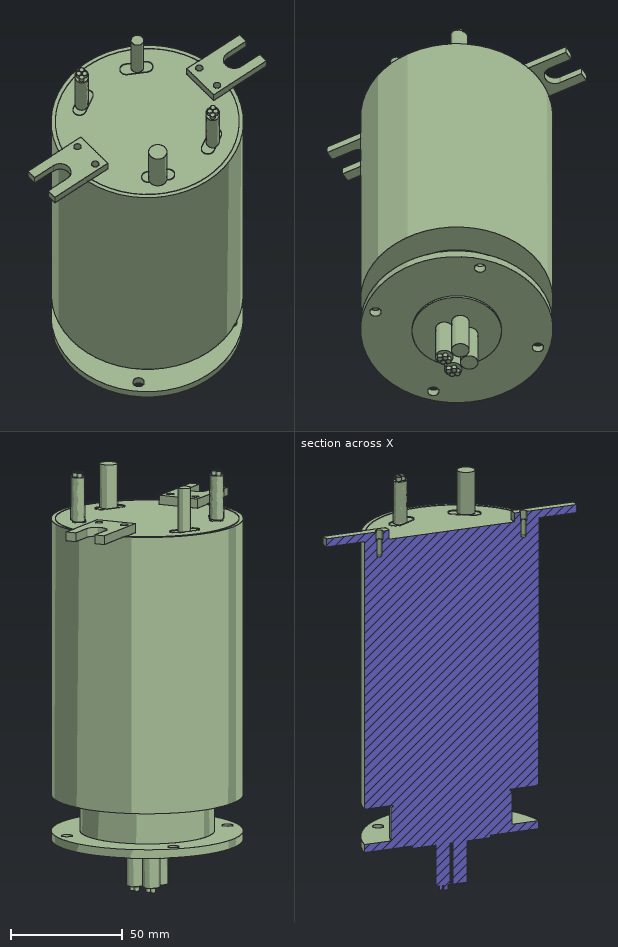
import cadquery as cq
import math

total_height = 190.6
total_depth = 122.0

lower_jacket_z = 2.3
gland_z = 21.7
flange_z = 22.9
flange_thickness = 4.0
neck_top_z = 42.7
body_z = 43.3
body_top_z = 169.3
upper_jacket_z = 188.7

body_diameter = 86.0
body_radius = body_diameter / 2
wall_thickness = 2.0
neck_radius = 30.1
neck_groove_depth = 1.0
gland_radius = 20.0
lid_recess = 0.2

bolt_circle_radius = 37.7
bolt_hole_diameter = 5.0
bolt_count = 4

plate_width = 19.0
plate_length = 30.5
plate_thickness = 4.0
fork_width = 9.5
fork_depth = 15.6
screw_spacing = 12.5
screw_setback = 4.5
screw_diameter = 3.2
pilot_diameter = 2.5
pilot_depth = 7.6
drill_point_angle = 118.0

outlet_radius = 30.7
outlet_angle = 30.0
outlet_length = 14.9
outlet_width = 6.0
outlet_recess = 0.4

upper_cable_x = 26.7
upper_cable_y = 16.0
cored_jacket_length = 7.8
cored_jacket_width = 6.1
thin_cable_diameter = 5.7
thick_cable_x = 27.8
thick_cable_y = 16.5
thick_cable_diameter = 8.2
lower_jacket_diameter = 7.8
lower_cable_spacing = 8.2
core_diameter = 2.3
core_long_offset = 2.1
core_short_offset = 1.3
core_axis_angle = -40.0
embed = 2.0


def cylinder(x, y, z_low, z_high, diameter):
    disc = cq.Workplane("XY", origin=(x, y, z_low)).circle(diameter / 2)
    return disc.extrude(z_high - z_low)


def housing():
    groove_radius = neck_radius - neck_groove_depth
    profile = [
        (0, gland_z),
        (gland_radius, gland_z),
        (gland_radius, flange_z),
        (body_radius, flange_z),
        (body_radius, flange_z + flange_thickness),
        (neck_radius, flange_z + flange_thickness),
        (neck_radius, neck_top_z),
        (groove_radius, neck_top_z),
        (groove_radius, body_z),
        (body_radius, body_z),
        (body_radius, body_top_z),
        (body_radius - wall_thickness, body_top_z),
        (body_radius - wall_thickness, body_top_z - lid_recess),
        (0, body_top_z - lid_recess),
    ]
    return cq.Workplane("XZ").polyline(profile).close().revolve(360, (0, 0), (0, 1))


def bolt_holes():
    first_angle = 180 / bolt_count
    return (
        cq.Workplane("XY", origin=(0, 0, flange_z))
        .polarArray(bolt_circle_radius, first_angle, 360, bolt_count)
        .circle(bolt_hole_diameter / 2)
        .extrude(flange_thickness)
    )


def cable_outlets():
    outlets = cq.Workplane("XY")
    floor_z = body_top_z - lid_recess - outlet_recess
    for angle in (outlet_angle, 180 - outlet_angle, 180 + outlet_angle, -outlet_angle):
        x = outlet_radius * math.cos(math.radians(angle))
        y = outlet_radius * math.sin(math.radians(angle))
        outlet = (
            cq.Workplane("XY", origin=(x, y, floor_z))
            .slot2D(outlet_length, outlet_width, angle + 90)
            .extrude(lid_recess + outlet_recess)
        )
        outlets = outlets.add(outlet)
    return outlets.combine()


def fork_plate():
    outer_y = total_depth / 2
    inner_y = outer_y - plate_length
    fork_round_y = outer_y - fork_depth + fork_width / 2
    base = cq.Workplane("XY", origin=(0, 0, body_top_z - lid_recess))
    height = plate_thickness + lid_recess
    plate = base.center(0, (inner_y + outer_y) / 2).rect(plate_width, plate_length).extrude(height)
    clearance = base.center(0, outer_y).rect(plate_width, 2 * (outer_y - body_radius + wall_thickness))
    plate = plate.cut(clearance.extrude(lid_recess))
    fork = base.center(0, fork_round_y).circle(fork_width / 2).extrude(height)
    fork = fork.union(
        base.center(0, (fork_round_y + outer_y) / 2)
        .rect(fork_width, outer_y - fork_round_y)
        .extrude(height)
    )
    return plate.cut(fork)


def screw_holes():
    radius = screw_diameter / 2
    pilot_radius = pilot_diameter / 2
    top_z = body_top_z + plate_thickness
    lid_z = body_top_z - lid_recess
    shoulder_z = body_top_z - pilot_depth
    tip_z = shoulder_z - pilot_radius / math.tan(math.radians(drill_point_angle / 2))
    drill_profile = [
        (0, top_z),
        (radius, top_z),
        (radius, lid_z),
        (pilot_radius, lid_z),
        (pilot_radius, shoulder_z),
        (0, tip_z),
    ]
    drill = cq.Workplane("XZ").polyline(drill_profile).close().revolve(360, (0, 0), (0, 1))
    hole_x = screw_spacing / 2
    hole_y = total_depth / 2 - plate_length + screw_setback
    holes = cq.Workplane("XY")
    for x in (-hole_x, hole_x):
        for y in (-hole_y, hole_y):
            holes = holes.add(drill.translate((x, y, 0)))
    return holes.combine()


def cored_jacket(x, y, z_low, z_high):
    base = cq.Workplane("XY", origin=(x, y, z_low))
    section = base.ellipse(cored_jacket_length / 2, cored_jacket_width / 2, core_axis_angle)
    return section.extrude(z_high - z_low)


def cores(x, y, z_low, z_high):
    rhombus = [
        (-core_long_offset, 0),
        (core_long_offset, 0),
        (0, -core_short_offset),
        (0, core_short_offset),
    ]
    return (
        cq.Workplane("XY", origin=(x, y, z_low))
        .transformed(rotate=(0, 0, core_axis_angle))
        .pushPoints(rhombus)
        .circle(core_diameter / 2)
        .extrude(z_high - z_low)
    )


def upper_cables():
    root_z = body_top_z - embed
    thin = cylinder(-upper_cable_x, upper_cable_y, root_z, upper_jacket_z, thin_cable_diameter)
    thick = cylinder(thick_cable_x, -thick_cable_y, root_z, upper_jacket_z, thick_cable_diameter)
    cables = thin.union(thick)
    for side in (-1, 1):
        x = side * upper_cable_x
        y = side * upper_cable_y
        cables = cables.union(cored_jacket(x, y, root_z, upper_jacket_z))
        cables = cables.union(cores(x, y, upper_jacket_z - embed, total_height))
    return cables


def lower_cables():
    offset = lower_cable_spacing / 2
    cables = cq.Workplane("XY")
    for x in (-offset, offset):
        for y in (-offset, offset):
            cables = cables.union(
                cylinder(x, y, lower_jacket_z, gland_z + embed, lower_jacket_diameter)
            )
        cables = cables.union(cores(x, offset, 0, lower_jacket_z + embed))
    return cables


result = housing().cut(bolt_holes()).cut(cable_outlets())
result = result.union(fork_plate()).union(fork_plate().mirror("XZ"))
result = result.cut(screw_holes())
result = result.union(upper_cables()).union(lower_cables())